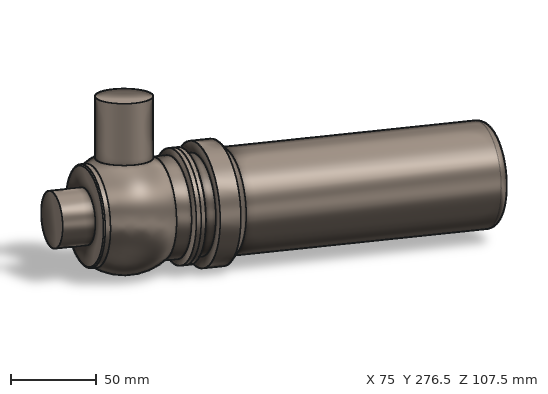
import cadquery as cq
import math

total_length = 276.5
pipe_radius = 34.0 / 2
neck_radius = 61.0 / 2
tube_radius = 64.0 / 2
ferrule_radius = 69.0 / 2
collar_radius = 75.0 / 2

housing_front_y = 20.5
front_chamfer = 0.8
ball_center_y = 45.3
ball_half_width = 20.7
ball_radius = math.hypot(neck_radius, ball_half_width)
side_pipe_top_z = 107.5 - collar_radius

joint_y = 80.0
rim_half_width = 3.0
base_half_width = 4.5

collar_start_y = 90.7
collar_length = 13.0
collar_taper = 5.5
dome_radius = 207.5
knuckle_radius = 5.5


def make_housing():
    """Ball with a front pipe, a side pipe and a neck ending in a ferrule."""
    body = (
        cq.Workplane("XY")
        .moveTo(0, 0)
        .lineTo(pipe_radius, 0)
        .lineTo(pipe_radius, housing_front_y)
        .lineTo(neck_radius - front_chamfer, housing_front_y)
        .lineTo(neck_radius, housing_front_y + front_chamfer)
        .lineTo(neck_radius, ball_center_y - ball_half_width)
        .threePointArc(
            (ball_radius, ball_center_y),
            (neck_radius, ball_center_y + ball_half_width),
        )
        .lineTo(neck_radius, joint_y - base_half_width)
        .lineTo(ferrule_radius, joint_y - rim_half_width)
        .lineTo(ferrule_radius, joint_y)
        .lineTo(0, joint_y)
        .close()
        .revolve(360, (0, 0), (0, 1))
    )
    side_pipe = (
        cq.Workplane("XY")
        .center(0, ball_center_y)
        .circle(pipe_radius)
        .extrude(side_pipe_top_z)
    )
    return body.union(side_pipe).solids()


def make_tube():
    """Closed tube with a ferrule, a tapered collar and a domed end."""
    dome_center_y = total_length - dome_radius
    knuckle_center_r = tube_radius - knuckle_radius
    center_distance = dome_radius - knuckle_radius
    dome_angle = math.asin(knuckle_center_r / center_distance)
    knuckle_center_y = dome_center_y + center_distance * math.cos(dome_angle)
    knuckle_end = (
        dome_radius * math.sin(dome_angle),
        dome_center_y + dome_radius * math.cos(dome_angle),
    )
    knuckle_mid_angle = (dome_angle + math.pi / 2) / 2
    knuckle_mid = (
        knuckle_center_r + knuckle_radius * math.sin(knuckle_mid_angle),
        knuckle_center_y + knuckle_radius * math.cos(knuckle_mid_angle),
    )
    dome_mid = (
        dome_radius * math.sin(dome_angle / 2),
        dome_center_y + dome_radius * math.cos(dome_angle / 2),
    )
    collar_end_y = collar_start_y + collar_length
    return (
        cq.Workplane("XY")
        .moveTo(0, joint_y)
        .lineTo(ferrule_radius, joint_y)
        .lineTo(ferrule_radius, joint_y + rim_half_width)
        .lineTo(neck_radius, joint_y + base_half_width)
        .lineTo(neck_radius, collar_start_y)
        .lineTo(collar_radius, collar_start_y)
        .lineTo(collar_radius, collar_end_y)
        .lineTo(tube_radius, collar_end_y + collar_taper)
        .lineTo(tube_radius, knuckle_center_y)
        .threePointArc(knuckle_mid, knuckle_end)
        .threePointArc(dome_mid, (0, total_length))
        .close()
        .revolve(360, (0, 0), (0, 1))
    )


housing = make_housing()
tube = make_tube()

result = cq.Compound.makeCompound([housing.val(), tube.val()])